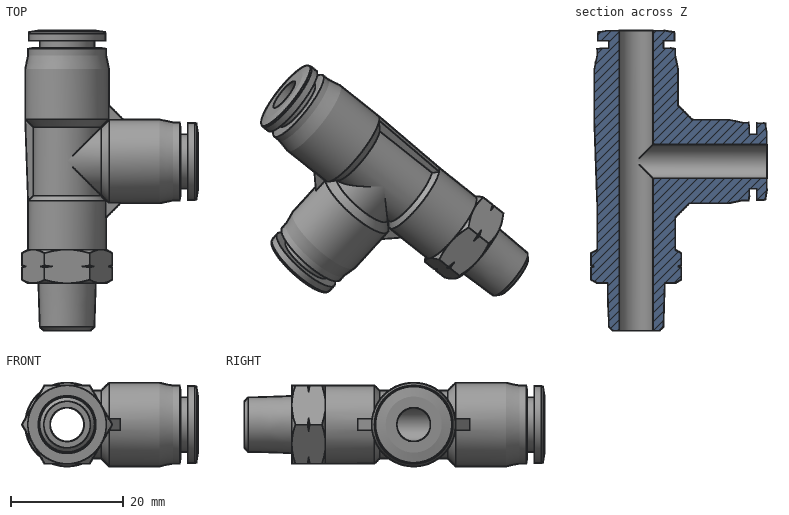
import cadquery as cq
import math


waist_radius = 6.1
body_radius = 7.5
taper_start = 16.5
sleeve_start = 18.9
sleeve_end = 20.1
sleeve_radius = 7.0
sleeve_lip_radius = 6.2
sleeve_lip_length = 0.15

neck_radius = 4.9
collar_start = 21.5
collar_radius = 6.9
collar_shoulder_start = 22.8
collar_shoulder_end = 23.1
collar_shoulder_radius = 6.8
arm_length = 23.4
collar_face_radius = 5.0

stem_radius = 7.0
hex_top = -15.75
hex_height = 6.0
hex_across_flats = 14.0
hex_chamfer_angle = 30.0
hex_groove_radius = 7.5
hex_groove_width = 0.4
thread_length = 8.5
thread_base_radius = 5.15
thread_end_radius = 4.9
thread_chamfer_length = 0.7
thread_tip_radius = 4.15

web_thickness = 2.1
gusset_leg = 2.5
bore_radius = 3.0

hex_bottom = hex_top - hex_height
thread_end = hex_bottom - thread_length


def turned_about_y(outline):
    """Solid of revolution about Y from (radius, y) points joined down the axis."""
    start = (0, outline[0][1])
    end = (0, outline[-1][1])
    profile = cq.Workplane("XY").polyline([start] + outline + [end]).close()
    return profile.revolve(360, (0, 0, 0), (0, 1, 0))


def arm():
    """Socket arm along +Y with its 45 degree shoulder, tapered sleeve and collar."""
    return turned_about_y([
        (waist_radius, 0),
        (waist_radius, waist_radius),
        (body_radius, body_radius),
        (body_radius, taper_start),
        (sleeve_radius, sleeve_start),
        (sleeve_radius, sleeve_end),
        (sleeve_lip_radius, sleeve_end + sleeve_lip_length),
        (neck_radius, sleeve_end + sleeve_lip_length),
        (neck_radius, collar_start),
        (collar_radius, collar_start),
        (collar_radius, collar_shoulder_start),
        (collar_shoulder_radius, collar_shoulder_end),
        (collar_face_radius, arm_length),
    ])


def stem():
    """Lower run from the crossing down to the hexagon."""
    return turned_about_y([
        (waist_radius, 0),
        (waist_radius, -waist_radius),
        (stem_radius, -stem_radius),
        (stem_radius, hex_top),
    ])


def hexagon():
    """Hexagon with chamfered corners and a V groove at mid height."""
    flat_radius = hex_across_flats / 2
    corner_radius = flat_radius / math.cos(math.pi / 6)
    chamfer_height = (corner_radius - flat_radius) * math.tan(math.radians(hex_chamfer_angle))
    groove_y = (hex_top + hex_bottom) / 2
    envelope = turned_about_y([
        (flat_radius, hex_top),
        (corner_radius, hex_top - chamfer_height),
        (corner_radius, groove_y + hex_groove_width / 2),
        (hex_groove_radius, groove_y),
        (corner_radius, groove_y - hex_groove_width / 2),
        (corner_radius, hex_bottom + chamfer_height),
        (flat_radius, hex_bottom),
    ])
    prism = (
        cq.Workplane("XZ", origin=(0, hex_top, 0))
        .polygon(6, 2 * corner_radius)
        .extrude(hex_height)
    )
    return prism.intersect(envelope)


def thread():
    """Tapered thread blank with a chamfered tip."""
    return turned_about_y([
        (thread_base_radius, hex_bottom),
        (thread_end_radius, thread_end + thread_chamfer_length),
        (thread_tip_radius, thread_end),
    ])


def web():
    """Flat web on the mid plane: rear strip and the two 45 degree gussets."""
    outline = [
        (-body_radius, body_radius),
        (-stem_radius, -stem_radius),
        (stem_radius, -body_radius - gusset_leg),
        (stem_radius + gusset_leg, -body_radius),
        (body_radius + gusset_leg, body_radius),
        (body_radius, body_radius + gusset_leg),
    ]
    return cq.Workplane("XY").polyline(outline).close().extrude(web_thickness / 2, both=True)


def bores():
    """Through bore along the run, joined by the bore of the branch."""
    run = turned_about_y([(bore_radius, thread_end), (bore_radius, arm_length)])
    branch = cq.Workplane("YZ").circle(bore_radius).extrude(arm_length)
    return run.union(branch)


branch_arm = arm().rotate((0, 0, 0), (0, 0, 1), -90)
body = arm().union(branch_arm).union(stem()).union(web())
fitting = body.union(hexagon()).union(thread())
result = fitting.cut(bores())